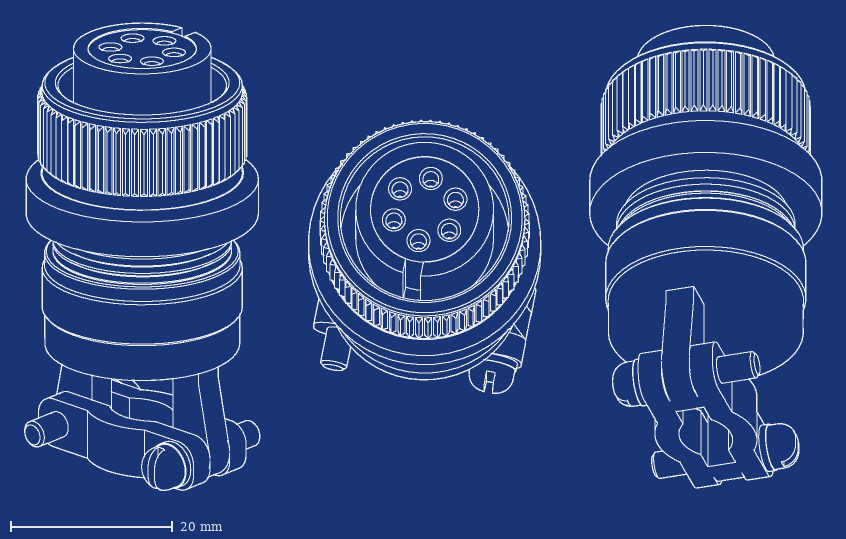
import cadquery as cq
import math


TOTAL_HEIGHT = 54.4
NUT_BOTTOM = 14.95
NUT_BAND_BOTTOM = 20.0
NUT_BAND_TOP = 25.25
NUT_TOP = 27.4
THREAD_TOP = 30.8
FLANGE_BOTTOM = 32.45
FLANGE_RIM_TOP = 37.05
FLANGE_CONE_TOP = 37.85
KNURL_BOTTOM = 39.65
KNURL_TOP = 48.6
RING_TOP = 49.85

NUT_RADIUS = 24.15 / 2
NUT_BOTTOM_RADIUS = 24.1 / 2
NUT_BAND_RADIUS = 24.75 / 2
NUT_BAND_CHAMFER_HEIGHT = 0.3
NUT_EDGE = 0.2

NECK_RADIUS = 20.3 / 2
THREAD_RADIUS = 22.1 / 2
FIRST_GROOVE_TOP = 29.85
THREAD_PITCH = 1.3
GROOVE_WIDTH = 1.0
GROOVE_COUNT = 2

FLANGE_RADIUS = 28.75 / 2
FLANGE_CONE_RADIUS = 12.5
RING_RADIUS = 24.75 / 2
RING_EDGE = 0.3
RING_BORE_RADIUS = 20.85 / 2
RING_BORE_CHAMFER = 0.3
RING_BORE_FLOOR = KNURL_BOTTOM

KNURL_RADIUS = 25.85 / 2
TOOTH_COUNT = 70
TOOTH_BASE_SHARE = 0.8

BARREL_RADIUS = 17.05 / 2
FACE_RADIUS = 13.4 / 2
FACE_RECESS = 0.15
KEYWAY_WIDTH = 2.25
CONTACT_COUNT = 6
CONTACT_CIRCLE_RADIUS = 4.0
CONTACT_RADIUS = 1.95 / 2
CONTACT_MOUTH_RADIUS = 2.85 / 2
CONTACT_DEPTH = 4.9
CONTACT_PILOT_RADIUS = 0.55 / 2
CONTACT_PILOT_DEPTH = 1.1

ARM_THICKNESS = 3.6
ARM_INNER_X = 6.8
ARM_TOP_X = 11.15
ARM_TAPER_TOP = 13.15
ARM_TAPER_BOTTOM = 4.0
ARM_CORNER_RADIUS = 3.6

CLAMP_HEIGHT = 6.35
CLAMP_HALF_LENGTH = 13.05
CLAMP_CORNER_RADIUS = 2.5
BAR_THICKNESS = 3.0
SADDLE_HALF_WIDTH = 4.8
SADDLE_RISE = 1.4

SCREW_X = 9.7
SCREW_RADIUS = 3.3 / 2
SCREW_TIP_Y = 9.5
SCREW_TIP_CHAMFER = 0.4
WASHER_RADIUS = 5.8 / 2
WASHER_THICKNESS = 0.85
HEAD_RADIUS = 5.55 / 2
HEAD_RIM_HEIGHT = 1.15
HEAD_DOME_RADIUS = 2.0
SLOT_WIDTH = 1.1
SLOT_DEPTH = 1.8

BAR_INNER_Y = ARM_THICKNESS / 2
BAR_OUTER_Y = BAR_INNER_Y + BAR_THICKNESS


def cylinder(radius, bottom, top):
    return cq.Workplane("XY").workplane(offset=bottom).circle(radius).extrude(top - bottom)


def cone(bottom_radius, top_radius, bottom, top):
    section = [(0, bottom), (bottom_radius, bottom), (top_radius, top), (0, top)]
    return cq.Workplane("XZ").polyline(section).close().revolve(360, (0, 0), (0, 1))


def make_nut():
    """Clamp nut with a raised, bevelled band around its middle."""
    lower = cone(NUT_BOTTOM_RADIUS, NUT_RADIUS, NUT_BOTTOM, NUT_BAND_BOTTOM)
    lower = lower.faces("<Z").edges().fillet(NUT_EDGE)
    upper = cylinder(NUT_RADIUS, NUT_BAND_BOTTOM, NUT_TOP).faces(">Z").edges().chamfer(NUT_EDGE)
    band = cylinder(NUT_BAND_RADIUS, NUT_BAND_BOTTOM, NUT_BAND_TOP)
    band_top = NUT_BAND_TOP + NUT_BAND_CHAMFER_HEIGHT
    band_bottom = NUT_BAND_BOTTOM - NUT_BAND_CHAMFER_HEIGHT
    upper_bevel = cone(NUT_BAND_RADIUS, NUT_RADIUS, NUT_BAND_TOP, band_top)
    lower_bevel = cone(NUT_RADIUS, NUT_BAND_RADIUS, band_bottom, NUT_BAND_BOTTOM)
    return lower.union(upper).union(band).union(upper_bevel).union(lower_bevel)


def make_thread():
    """Neck with a short thread, made of separate V grooves."""
    neck = cylinder(NECK_RADIUS, NUT_TOP, FLANGE_BOTTOM)
    thread = neck.union(cylinder(THREAD_RADIUS, NUT_TOP, THREAD_TOP))
    for index in range(GROOVE_COUNT):
        top = FIRST_GROOVE_TOP - index * THREAD_PITCH
        section = [
            (THREAD_RADIUS, top),
            (NECK_RADIUS, top - GROOVE_WIDTH / 2),
            (THREAD_RADIUS, top - GROOVE_WIDTH),
        ]
        groove = cq.Workplane("XZ").polyline(section).close().revolve(360, (0, 0), (0, 1))
        thread = thread.cut(groove)
    return thread


def make_flange():
    """Plain flange with a shallow cone on its upper side."""
    rim = cylinder(FLANGE_RADIUS, FLANGE_BOTTOM, FLANGE_RIM_TOP)
    return rim.union(cone(FLANGE_RADIUS, FLANGE_CONE_RADIUS, FLANGE_RIM_TOP, FLANGE_CONE_TOP))


def make_knurl():
    """Band of pointed teeth, bevelled at both ends down to the tooth roots."""
    tooth_angle = 2 * math.pi / TOOTH_COUNT
    half_base = tooth_angle * TOOTH_BASE_SHARE / 2
    outline = []
    for index in range(TOOTH_COUNT):
        middle = index * tooth_angle
        for radius, angle in (
            (RING_RADIUS, middle - half_base),
            (KNURL_RADIUS, middle),
            (RING_RADIUS, middle + half_base),
        ):
            outline.append((radius * math.cos(angle), radius * math.sin(angle)))
    teeth = cq.Workplane("XY").workplane(offset=KNURL_BOTTOM).polyline(outline).close()
    teeth = teeth.extrude(KNURL_TOP - KNURL_BOTTOM)
    envelope = cylinder(KNURL_RADIUS, KNURL_BOTTOM, KNURL_TOP).edges().chamfer(KNURL_RADIUS - RING_RADIUS)
    return teeth.intersect(envelope)


def make_ring():
    """Knurled coupling ring, open at the top around the insert."""
    ring = cylinder(RING_RADIUS, FLANGE_RIM_TOP, RING_TOP).faces(">Z").edges().chamfer(RING_EDGE)
    ring = ring.union(make_knurl())
    mouth_radius = RING_BORE_RADIUS + RING_BORE_CHAMFER
    mouth = cone(RING_BORE_RADIUS, mouth_radius, RING_TOP - RING_BORE_CHAMFER, RING_TOP)
    return ring.cut(cylinder(RING_BORE_RADIUS, RING_BORE_FLOOR, RING_TOP)).cut(mouth)


def make_contact_hole(face):
    """Countersunk contact socket with a small pilot hole in its floor."""
    floor = face - CONTACT_DEPTH
    mouth_bottom = face - (CONTACT_MOUTH_RADIUS - CONTACT_RADIUS)
    socket = cylinder(CONTACT_RADIUS, floor, face)
    mouth = cone(CONTACT_RADIUS, CONTACT_MOUTH_RADIUS, mouth_bottom, face)
    pilot = cylinder(CONTACT_PILOT_RADIUS, floor - CONTACT_PILOT_DEPTH, floor)
    return socket.union(mouth).union(pilot)


def make_insert():
    """Keyed barrel around a slightly recessed contact face."""
    face = TOTAL_HEIGHT - FACE_RECESS
    barrel = cylinder(BARREL_RADIUS, RING_BORE_FLOOR, TOTAL_HEIGHT)
    keyway = cq.Workplane("XY").workplane(offset=RING_BORE_FLOOR).rect(KEYWAY_WIDTH, BARREL_RADIUS * 2)
    keyway = keyway.extrude(TOTAL_HEIGHT - RING_BORE_FLOOR).translate((0, BARREL_RADIUS, 0))
    insert = barrel.cut(keyway).cut(cylinder(FACE_RADIUS, face, TOTAL_HEIGHT))
    insert = insert.union(cylinder(FACE_RADIUS, RING_BORE_FLOOR, face))
    hole = make_contact_hole(face).translate((0, CONTACT_CIRCLE_RADIUS, 0))
    for index in range(CONTACT_COUNT):
        insert = insert.cut(hole.rotate((0, 0, 0), (0, 0, 1), index * 360 / CONTACT_COUNT))
    return insert


def make_arm():
    """Right-hand arm from the nut down to the clamp, flared and rounded at its foot."""
    outline = [
        (ARM_INNER_X, 0),
        (CLAMP_HALF_LENGTH, 0),
        (CLAMP_HALF_LENGTH, ARM_TAPER_BOTTOM),
        (ARM_TOP_X, ARM_TAPER_TOP),
        (ARM_TOP_X, NUT_BOTTOM + NUT_EDGE),
        (ARM_INNER_X, NUT_BOTTOM + NUT_EDGE),
    ]
    arm = cq.Workplane("XZ").polyline(outline).close().extrude(ARM_THICKNESS / 2, both=True)
    return arm.edges("|Y").edges("<Z").edges(">X").fillet(ARM_CORNER_RADIUS)


def make_clamp_bar():
    """Clamp bar on the +Y side, bowed outward around the cable with an even wall."""
    saddle_radius = (SADDLE_HALF_WIDTH**2 + SADDLE_RISE**2) / (2 * SADDLE_RISE)
    saddle_top = BAR_OUTER_Y + SADDLE_RISE
    saddle_center_y = saddle_top - saddle_radius
    inner_radius = saddle_radius - BAR_THICKNESS
    inner_half_width = math.sqrt(inner_radius**2 - (BAR_INNER_Y - saddle_center_y) ** 2)
    bar = (
        cq.Workplane("XY")
        .moveTo(-CLAMP_HALF_LENGTH, BAR_INNER_Y)
        .lineTo(-inner_half_width, BAR_INNER_Y)
        .threePointArc((0, saddle_top - BAR_THICKNESS), (inner_half_width, BAR_INNER_Y))
        .lineTo(CLAMP_HALF_LENGTH, BAR_INNER_Y)
        .lineTo(CLAMP_HALF_LENGTH, BAR_OUTER_Y)
        .lineTo(SADDLE_HALF_WIDTH, BAR_OUTER_Y)
        .threePointArc((0, saddle_top), (-SADDLE_HALF_WIDTH, BAR_OUTER_Y))
        .lineTo(-CLAMP_HALF_LENGTH, BAR_OUTER_Y)
        .close()
        .extrude(CLAMP_HEIGHT)
    )
    ends = cq.Workplane("XZ").rect(2 * CLAMP_HALF_LENGTH, CLAMP_HEIGHT).extrude(-2 * saddle_top)
    ends = ends.edges("|Y").fillet(CLAMP_CORNER_RADIUS).translate((0, 0, CLAMP_HEIGHT / 2))
    return bar.intersect(ends)


def make_screw():
    """Washer, slotted domed head on the -Y side and shank ending on the +Y side."""
    washer_y = -BAR_OUTER_Y - WASHER_THICKNESS
    rim_y = washer_y - HEAD_RIM_HEIGHT
    head_y = rim_y - HEAD_DOME_RADIUS
    crown_radius = HEAD_RADIUS - HEAD_DOME_RADIUS
    arc_offset = HEAD_DOME_RADIUS * math.sqrt(0.5)
    profile = (
        cq.Workplane("XY")
        .moveTo(0, head_y)
        .lineTo(crown_radius, head_y)
        .threePointArc((crown_radius + arc_offset, rim_y - arc_offset), (HEAD_RADIUS, rim_y))
        .lineTo(HEAD_RADIUS, washer_y)
        .lineTo(WASHER_RADIUS, washer_y)
        .lineTo(WASHER_RADIUS, -BAR_OUTER_Y)
        .lineTo(SCREW_RADIUS, -BAR_OUTER_Y)
        .lineTo(SCREW_RADIUS, SCREW_TIP_Y - SCREW_TIP_CHAMFER)
        .lineTo(SCREW_RADIUS - SCREW_TIP_CHAMFER, SCREW_TIP_Y)
        .lineTo(0, SCREW_TIP_Y)
        .close()
    )
    screw = profile.revolve(360, (0, 0), (0, 1))
    slot = cq.Workplane("XY").box(SLOT_WIDTH, 2 * SLOT_DEPTH, 2 * WASHER_RADIUS).translate((0, head_y, 0))
    return screw.cut(slot).translate((SCREW_X, 0, CLAMP_HEIGHT / 2))


def with_opposite(body):
    """The body together with its copy turned half a turn about the connector axis."""
    return body.union(body.rotate((0, 0, 0), (0, 0, 1), 180))


shell = make_nut().union(make_thread()).union(make_flange()).union(make_ring()).union(make_insert())
clamp = with_opposite(make_arm()).union(with_opposite(make_clamp_bar())).union(with_opposite(make_screw()))

result = shell.union(clamp)